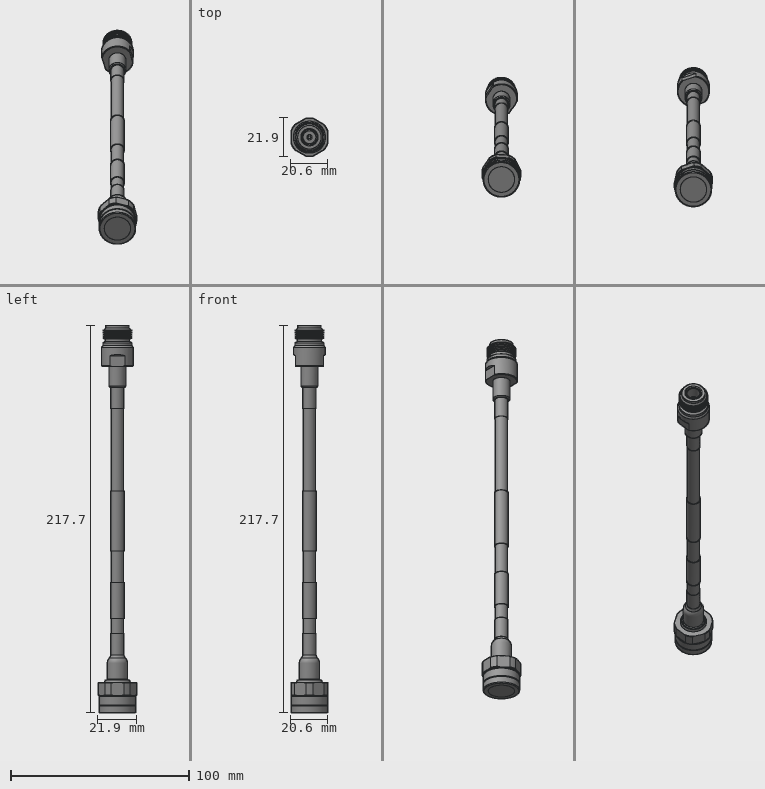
import cadquery as cq
import math

total_height = 217.71
nut_top = 17.1
male_collar_top = 18.5
male_body_top = 32.6
lower_shrink_top = 44.6
short_label_bottom, short_label_top = 53.1, 73.4
long_label_bottom, long_label_top = 91.1, 124.6
upper_shrink_bottom = 171.1
ferrule_bottom = 182.9
ferrule_top = 194.7

cable_radius = 3.55
shrink_radius = 3.75
label_radius = 3.94

nut_across_flats = 20.6
nut_corner_diameter = 21.85
nut_round_radius = nut_across_flats / 2
hex_bottom = 10.0
hex_corner_chamfer = 0.3
nut_edge_chamfer = 0.5
nut_groove_height = 4.1
nut_groove_width = 0.5
nut_groove_depth = 0.1
relief_width = 0.6
relief_depth = 0.3

collar_top_radius = 6.9
collar_foot_radius = 7.4
sleeve_radius = 5.75
sleeve_foot_step = 0.6
neck_radius = 4.45
neck_bottom = 31.0
shoulder_bottom = 28.2

ferrule_radius = 4.85
ferrule_foot_radius = 4.2
ferrule_bevel_height = 0.6
body_radius = 9.0
body_edge_chamfer = 0.4
flat_distance = 7.95
flat_top = 200.6
flat_run_out = 0.7
bevel_bottom = 205.2
ring_radius = 8.2
ring_bottom = 206.3
ring_top = 207.9
undercut_bottom = 208.6
undercut_radius = 6.9
undercut_top = 210.1
thread_radius = 8.1
thread_root_radius = 7.45
thread_pitch = 1.058
thread_turns = 5
thread_crest_flat = thread_pitch / 8
thread_root_flat = thread_pitch / 4
rim_radius = 6.6

mouth_radius = 4.85
mouth_bevel = 0.6
bore_radius = 3.6
bore_depth = 9.0
contact_radius = 1.5
contact_tip_depth = 5.0
contact_hole_radius = 0.8
contact_hole_depth = 3.0


def turned(profile):
    """Solid turned about Z from (radius, height) points."""
    return cq.Workplane("XZ").polyline(profile).close().revolve(360, (0, 0, 0), (0, 1, 0))


def cylinder(radius, bottom, top):
    return cq.Workplane("XY").workplane(offset=bottom).circle(radius).extrude(top - bottom)


def tube(outer_radius, bottom, top):
    """Close-fitting tube around the cable."""
    return cylinder(outer_radius, bottom, top).cut(cylinder(cable_radius, bottom, top))


def make_nut():
    corner_radius = nut_corner_diameter / 2
    hexagon = (
        cq.Workplane("XY")
        .workplane(offset=hex_bottom)
        .polygon(6, nut_across_flats, circumscribed=True)
        .extrude(nut_top - hex_bottom)
    )
    corner_trim = cylinder(corner_radius, hex_bottom, nut_top).faces(">Z or <Z").chamfer(hex_corner_chamfer)
    relief_radius = nut_round_radius - relief_depth
    groove_radius = nut_round_radius - nut_groove_depth
    relief_bottom = hex_bottom - relief_width
    groove_top = nut_groove_height + nut_groove_width
    round_part = turned([
        (0, 0),
        (nut_round_radius - nut_edge_chamfer, 0),
        (nut_round_radius, nut_edge_chamfer),
        (nut_round_radius, nut_groove_height),
        (groove_radius, nut_groove_height),
        (groove_radius, groove_top),
        (nut_round_radius, groove_top),
        (nut_round_radius, relief_bottom),
        (relief_radius, relief_bottom),
        (relief_radius, hex_bottom),
        (0, hex_bottom),
    ])
    bore = cylinder(collar_foot_radius, 0, nut_top)
    return hexagon.intersect(corner_trim).union(round_part).cut(bore)


def make_male_body():
    shoulder_height = neck_bottom - shoulder_bottom
    shoulder_width = sleeve_radius - neck_radius
    shoulder_round = (shoulder_height**2 + shoulder_width**2) / (2 * shoulder_width)
    half_sweep = math.asin(shoulder_height / shoulder_round) / 2
    shoulder_middle = (
        sleeve_radius - shoulder_round * (1 - math.cos(half_sweep)),
        shoulder_bottom + shoulder_round * math.sin(half_sweep),
    )
    return (
        cq.Workplane("XZ")
        .moveTo(0, 0)
        .lineTo(collar_foot_radius, 0)
        .lineTo(collar_foot_radius, nut_top)
        .lineTo(collar_top_radius, male_collar_top)
        .lineTo(sleeve_radius + sleeve_foot_step, male_collar_top)
        .lineTo(sleeve_radius, male_collar_top + sleeve_foot_step)
        .lineTo(sleeve_radius, shoulder_bottom)
        .threePointArc(shoulder_middle, (neck_radius, neck_bottom))
        .lineTo(shrink_radius, male_body_top)
        .lineTo(0, male_body_top)
        .close()
        .revolve(360, (0, 0, 0), (0, 1, 0))
    )


def thread_profile():
    """Crests and roots of the thread, drawn as level ridges, from the undercut upwards."""
    points = []
    for turn in range(thread_turns):
        start = undercut_top + turn * thread_pitch
        middle = start + thread_pitch / 2
        points += [
            (thread_root_radius, start),
            (thread_radius, middle - thread_crest_flat / 2),
            (thread_radius, middle + thread_crest_flat / 2),
            (thread_root_radius, start + thread_pitch - thread_root_flat),
        ]
    return points


def make_flat_cutter():
    """Tool for the -X wrench flat, with a sloping run-out at its upper end."""
    flat_depth = body_radius - flat_distance
    outside = flat_distance + 2 * flat_depth
    slope_top = flat_top + 2 * flat_run_out
    return (
        cq.Workplane("XZ")
        .polyline([
            (-flat_distance, ferrule_top),
            (-flat_distance, flat_top),
            (-outside, slope_top),
            (-outside, ferrule_top),
        ])
        .close()
        .extrude(body_radius, both=True)
    )


def make_female_body():
    thread_top = undercut_top + thread_turns * thread_pitch
    rim_bottom = thread_top + thread_root_radius - rim_radius
    bevel_foot_radius = mouth_radius - mouth_bevel
    body = turned([
        (0, ferrule_bottom),
        (ferrule_foot_radius, ferrule_bottom),
        (ferrule_radius, ferrule_bottom + ferrule_bevel_height),
        (ferrule_radius, ferrule_top),
        (body_radius - body_edge_chamfer, ferrule_top),
        (body_radius, ferrule_top + body_edge_chamfer),
        (body_radius, bevel_bottom),
        (ring_radius, ring_bottom),
        (ring_radius, ring_top),
        (undercut_radius, undercut_bottom),
        (undercut_radius, undercut_top),
        *thread_profile(),
        (rim_radius, rim_bottom),
        (rim_radius, total_height),
        (mouth_radius, total_height),
        (bevel_foot_radius, total_height - mouth_bevel),
        (bore_radius, total_height - mouth_bevel),
        (bore_radius, total_height - bore_depth),
        (0, total_height - bore_depth),
    ])
    flat_cutter = make_flat_cutter()
    return body.cut(flat_cutter).cut(flat_cutter.mirror("YZ"))


def make_contact():
    tip = total_height - contact_tip_depth
    pin = cylinder(contact_radius, total_height - bore_depth, tip)
    return pin.cut(cylinder(contact_hole_radius, tip - contact_hole_depth, tip))


nut = make_nut()
male_body = make_male_body()
female_body = make_female_body()
contact = make_contact()
cable = cylinder(cable_radius, male_body_top, ferrule_bottom)
shrinks = [
    tube(shrink_radius, bottom, top)
    for bottom, top in ((male_body_top, lower_shrink_top), (upper_shrink_bottom, ferrule_bottom))
]
labels = [
    tube(label_radius, bottom, top)
    for bottom, top in ((short_label_bottom, short_label_top), (long_label_bottom, long_label_top))
]
bodies = [nut, male_body, female_body, contact, cable, *shrinks, *labels]
result = cq.Compound.makeCompound([body.val() for body in bodies])